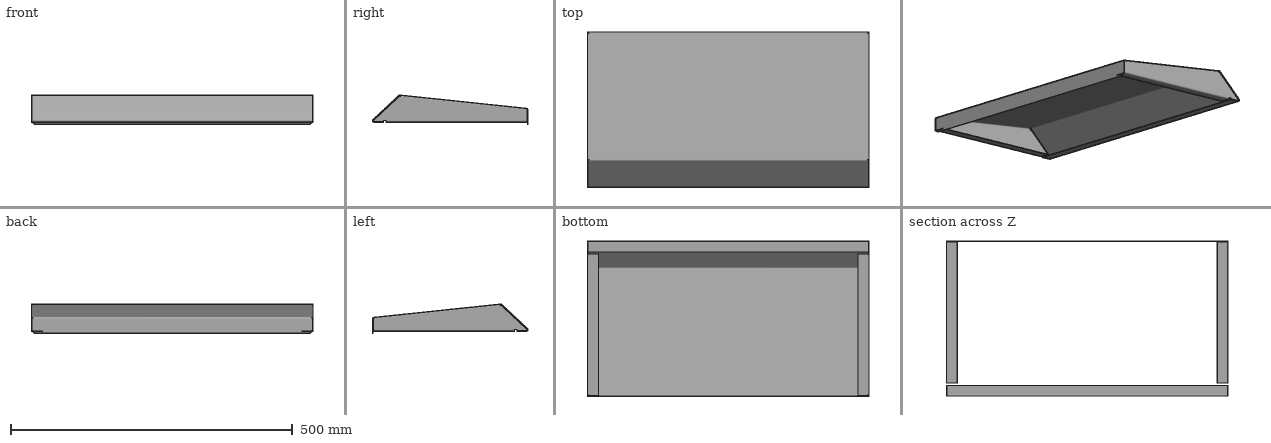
import cadquery as cq
import math

WIDTH = 500.0
DEPTH = 275.5
HEIGHT = 52.0

SHEET = 1.0
BEND_RADIUS = 3.0
SEAM_GAP = 0.5

BASE_Z = 3.5
TOP_SLOPE = math.radians(6.0)
FRONT_SLOPE = math.radians(43.1)

FLANGE_DEPTH = 19.5
FLANGE_RELIEF = 4.0
LIP_INSET = 2.0
LIP_CHAMFER = 3.5

inner_radius = BEND_RADIUS - SHEET
side_x = WIDTH / 2
rear_inner_y = DEPTH - SHEET

half_turn = (FRONT_SLOPE + TOP_SLOPE) / 2
half_tilt = (FRONT_SLOPE - TOP_SLOPE) / 2
nose_y = BEND_RADIUS - BEND_RADIUS / math.tan(FRONT_SLOPE / 2)
crest_z = HEIGHT + BEND_RADIUS * (math.cos(half_tilt) / math.cos(half_turn) - 1)
crest_y = nose_y + (crest_z - BASE_Z) / math.tan(FRONT_SLOPE)
crest_end_y = crest_y + BEND_RADIUS * math.tan(half_turn) * math.cos(TOP_SLOPE)
rear_z = crest_z - (DEPTH - crest_y) * math.tan(TOP_SLOPE)


def box(x_range, y_range, z_range):
    """Box between two limits along each axis."""
    (x0, x1), (y0, y1), (z0, z1) = x_range, y_range, z_range
    return cq.Workplane("XY").box(x1 - x0, y1 - y0, z1 - z0, centered=False).translate((x0, y0, z0))


def both_sides(left_shape):
    """A shape on the -X side together with its mirror image."""
    return left_shape.add(left_shape.mirror("YZ")).combine()


def wedge_profile(inset):
    """Outline of the hood seen along X with unbent corners, moved inward by inset."""
    outline = [(nose_y, BASE_Z), (crest_y, crest_z), (DEPTH, rear_z), (DEPTH, BASE_Z)]
    profile = cq.Workplane("YZ").polyline(outline).close()
    return profile.offset2D(-inset, "intersection") if inset else profile


def wedge(inset):
    """Sharp-edged block of the hood, moved inward by inset on every face."""
    return wedge_profile(inset).extrude(side_x - inset, both=True)


def bent_block(inset, radius):
    """Wedge with rounded nose, crest, rear top edge and, behind the crest, top side edges."""
    top_direction = cq.Vector(0, math.cos(TOP_SLOPE), -math.sin(TOP_SLOPE))
    top_sides = cq.selectors.ParallelDirSelector(top_direction)
    square_zone = box((-side_x, side_x), (nose_y, crest_end_y), (0, crest_z))
    square_front = wedge(inset).intersect(square_zone)
    rounded_along_top = wedge(inset).edges(top_sides).fillet(radius).union(square_front)
    rounded_across = wedge(inset).edges("|X").edges("<Y or >Z").fillet(radius)
    rounded_across = rounded_across.faces(">Y").edges(">Z").fillet(radius)
    return rounded_across.intersect(rounded_along_top)


def bent_skin():
    """Top, front, rear and side panels with the front flange; the rest of the floor is open."""
    skin = bent_block(0, BEND_RADIUS).cut(bent_block(SHEET, inner_radius))
    opening = box((-side_x, side_x), (FLANGE_DEPTH, rear_inner_y), (BASE_Z, BASE_Z + BEND_RADIUS))
    return skin.cut(opening)


def side_flange():
    """Bend and flat flange that turn inward under the -X side panel."""
    y_start = FLANGE_DEPTH + FLANGE_RELIEF
    length = rear_inner_y - SEAM_GAP - y_start
    bend_z = BASE_Z + BEND_RADIUS
    bend_x = BEND_RADIUS - side_x
    outer_mid = BEND_RADIUS * math.sqrt(0.5)
    inner_mid = inner_radius * math.sqrt(0.5)
    return (
        cq.Workplane("XZ", origin=(0, y_start, 0))
        .moveTo(-side_x, bend_z)
        .threePointArc((bend_x - outer_mid, bend_z - outer_mid), (bend_x, BASE_Z))
        .lineTo(FLANGE_DEPTH - side_x, BASE_Z)
        .lineTo(FLANGE_DEPTH - side_x, BASE_Z + SHEET)
        .lineTo(bend_x, BASE_Z + SHEET)
        .threePointArc((bend_x - inner_mid, bend_z - inner_mid), (SHEET - side_x, bend_z))
        .close()
        .extrude(-length)
    )


def side_seams():
    """Open joints where the -X side panel meets the front panel, front flange and rear panel."""
    side_range = (-side_x, SHEET - side_x)
    slide = SEAM_GAP / math.sin(FRONT_SLOPE + TOP_SLOPE)
    slide_along_top = (0, slide * math.cos(TOP_SLOPE), -slide * math.sin(TOP_SLOPE))
    inner = wedge_profile(SHEET).extrude(SHEET).translate((-side_x, 0, 0))
    front_seam = inner.cut(inner.translate(slide_along_top))
    flange_top = BASE_Z + SHEET
    flange_seam = box(side_range, (0, FLANGE_DEPTH), (flange_top, flange_top + SEAM_GAP))
    rear_seam = box(side_range, (rear_inner_y - SEAM_GAP, rear_inner_y), (BASE_Z, rear_z - BEND_RADIUS))
    return front_seam.union(flange_seam).union(rear_seam)


def crest_slit():
    """Relief slit where the -X side bend ends against the crest bend."""
    slit_x = (-side_x, BEND_RADIUS - side_x)
    return box(slit_x, (crest_end_y, crest_end_y + SEAM_GAP), (HEIGHT - BEND_RADIUS, HEIGHT))


def rear_lip():
    """Lower extension of the rear panel with chamfered corners."""
    half = side_x - LIP_INSET
    outline = [(-half, BASE_Z), (LIP_CHAMFER - half, 0), (half - LIP_CHAMFER, 0), (half, BASE_Z)]
    return cq.Workplane("XZ", origin=(0, DEPTH, 0)).polyline(outline).close().extrude(SHEET)


hood = bent_skin().union(both_sides(side_flange())).union(rear_lip())
hood = hood.cut(both_sides(side_seams())).cut(both_sides(crest_slit()))
result = cq.Compound.makeCompound([hood.val()])